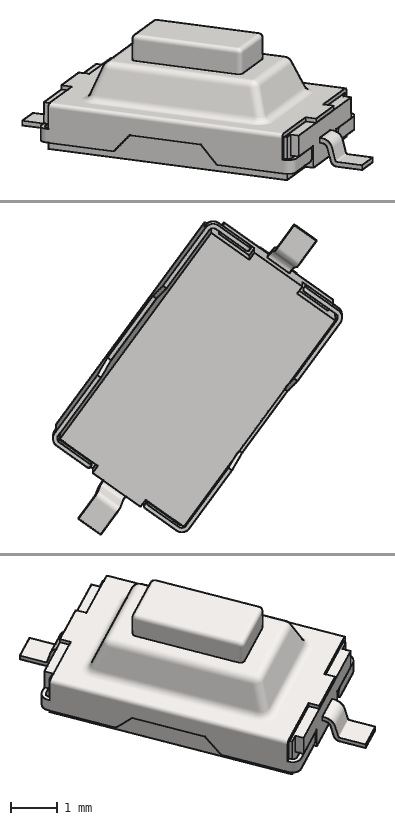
import cadquery as cq
import math

overall_length = 8.0
overall_height = 2.51
body_length = 6.0
cover_width = 3.6
sheet = 0.1

base_bottom = 0.02
skirt_bottom = 0.22
tab_top = 0.53
cover_top = 1.1
dome_top = 1.94
cover_underside = cover_top - sheet

plate_length = 5.5
tongue_width = 0.98
corner_radius = 0.2
tab_end = 0.73
tab_end_radius = 0.1
notch_top = 0.63
notch_bottom_width = 2.43
notch_top_width = 1.68

dome_length = 4.2
dome_width = 2.6
dome_draft = 20.0
dome_radius = 0.2
button_length = 2.59
button_width = 1.3
button_radius = 0.1

base_width = 3.31
base_core_length = 5.62
base_end_width = 2.92
base_foot_width = 1.28

lead_width = 0.6
lead_thickness = 0.11
lead_top = 0.61
lead_straight = 0.05
upper_bend_radius = 0.26
lower_bend_radius = 0.04
bend_angle = math.radians(75)


def block(length, width, bottom, top):
    """Box centred on the Z axis between two levels."""
    return cq.Workplane("XY").box(length, width, top - bottom, centered=(True, True, False)).translate(
        (0, 0, bottom)
    )


def cover_sheet():
    """Top plate with end tongues, long skirts, and tabs bent round the four corners."""
    shell = block(body_length, cover_width, skirt_bottom, cover_top).edges("|Z").fillet(corner_radius)
    cavity = block(
        body_length - 2 * sheet, cover_width - 2 * sheet, skirt_bottom, cover_underside
    ).edges("|Z").fillet(corner_radius - sheet)
    shell = shell.cut(cavity)

    upper = block(plate_length, cover_width, tab_top, cover_top).edges("|X and >Z").fillet(sheet)
    tongues = block(body_length, tongue_width, cover_underside, cover_top)
    lower = block(body_length, cover_width, skirt_bottom, tab_top)
    return shell.intersect(upper.union(tongues).union(lower))


def tab_gap():
    """Opening between the facing tab ends, leaving each tab with rounded end corners."""
    reach = body_length + 2 * sheet
    tab_reach = cover_width / 2 + corner_radius - tab_end
    gap = block(reach, cover_width, skirt_bottom, tab_top)
    for side in (-1, 1):
        tab = block(reach, tab_reach, skirt_bottom, tab_top).edges("|X").fillet(tab_end_radius)
        gap = gap.cut(tab.translate((0, side * (tab_end + tab_reach / 2), 0)))
    return gap


def skirt_notch():
    """Trapezoidal cut through the lower edge of both long skirts."""
    return (
        cq.Workplane("XZ")
        .polyline(
            [
                (-notch_bottom_width / 2, skirt_bottom),
                (-notch_top_width / 2, notch_top),
                (notch_top_width / 2, notch_top),
                (notch_bottom_width / 2, skirt_bottom),
            ]
        )
        .close()
        .extrude(cover_width, both=True)
    )


def dome():
    """Drafted, rounded hill with its upper edges filleted."""
    hill = (
        cq.Workplane("XY", origin=(0, 0, cover_top))
        .rect(dome_length, dome_width)
        .extrude(dome_top - cover_top, taper=dome_draft)
    )
    return hill.edges("not <Z").fillet(dome_radius)


def button():
    """Rectangular push button standing on the dome."""
    return (
        block(button_length, button_width, dome_top, overall_height)
        .edges("|Z or >Z")
        .fillet(button_radius)
    )


def make_cover():
    """Sheet cover with its dome blended in, and the button on top."""
    cover = cover_sheet().cut(tab_gap()).cut(skirt_notch()).union(dome())
    reach_x = dome_length / 2 + sheet
    reach_y = dome_width / 2 + sheet
    foot = cq.selectors.BoxSelector(
        (-reach_x, -reach_y, cover_top - sheet / 2), (reach_x, reach_y, cover_top + sheet / 2)
    )
    cover = cover.edges(foot).fillet(dome_radius)
    return cover.union(button())


def lead():
    """Gull-wing lead on the +X side."""
    normal_x = math.sin(bend_angle)
    normal_z = math.cos(bend_angle)
    half_x = math.sin(bend_angle / 2)
    half_z = math.cos(bend_angle / 2)
    inner_upper = upper_bend_radius - lead_thickness
    outer_lower = lower_bend_radius + lead_thickness

    base_end = body_length / 2
    tip = overall_length / 2
    upper_x = base_end + lead_straight
    upper_z = lead_top - upper_bend_radius
    lower_z = outer_lower
    lower_x = upper_x + (
        upper_bend_radius + lower_bend_radius - (lower_z - upper_z) * normal_z
    ) / normal_x

    def on_upper(radius, across, up):
        return (upper_x + radius * across, upper_z + radius * up)

    def on_lower(radius, across, up):
        return (lower_x - radius * across, lower_z - radius * up)

    return (
        cq.Workplane("XZ")
        .moveTo(base_end, lead_top)
        .lineTo(*on_upper(upper_bend_radius, 0, 1))
        .threePointArc(
            on_upper(upper_bend_radius, half_x, half_z), on_upper(upper_bend_radius, normal_x, normal_z)
        )
        .lineTo(*on_lower(lower_bend_radius, normal_x, normal_z))
        .threePointArc(on_lower(lower_bend_radius, half_x, half_z), on_lower(lower_bend_radius, 0, 1))
        .lineTo(tip, lead_thickness)
        .lineTo(tip, 0)
        .lineTo(*on_lower(outer_lower, 0, 1))
        .threePointArc(on_lower(outer_lower, half_x, half_z), on_lower(outer_lower, normal_x, normal_z))
        .lineTo(*on_upper(inner_upper, normal_x, normal_z))
        .threePointArc(on_upper(inner_upper, half_x, half_z), on_upper(inner_upper, 0, 1))
        .lineTo(base_end, lead_top - lead_thickness)
        .close()
        .extrude(lead_width / 2, both=True)
    )


def make_base():
    """Stepped block under the cover, with a lead at each end."""
    base = block(base_core_length, base_width, base_bottom, cover_underside)
    base = base.union(block(body_length, base_end_width, tab_top, cover_underside))
    base = base.union(block(body_length, base_foot_width, base_bottom, cover_underside))
    for turn in (0, 180):
        base = base.union(lead().rotate((0, 0, 0), (0, 0, 1), turn))
    return base


cover = make_cover()
base = make_base()
result = cq.Compound.makeCompound([cover.solids().val(), base.solids().val()])